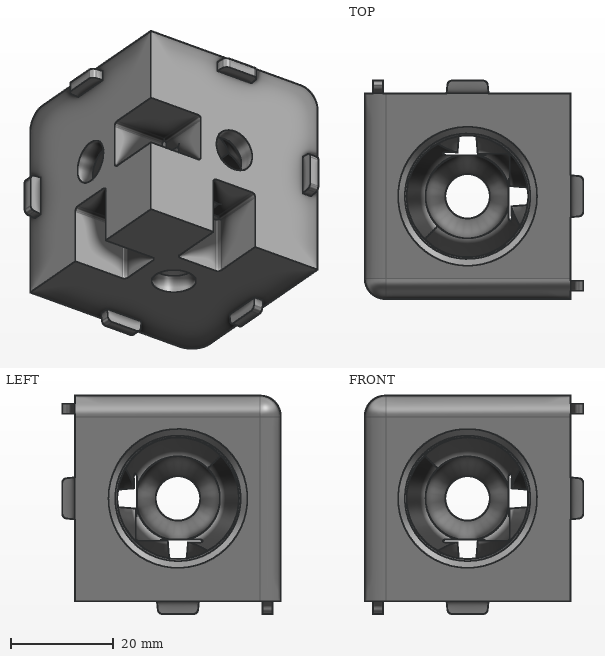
import cadquery as cq
import math

CUBE_SIDE = 40.0
HALF_SIDE = CUBE_SIDE / 2
EDGE_RADIUS = 4.1

DRAFT_ANGLE = 1.0
DRAFT_SLOPE = math.tan(math.radians(DRAFT_ANGLE))

MOUTH_RADIUS = 13.5
MOUTH_DEPTH = 1.1
RIM_RADIUS = 12.2
RIM_DEPTH = 0.8
SPHERE_RADIUS = 11.63

POCKET_END_RADIUS = 8.16
POCKET_END = 12.5
HOLE_RADIUS = 4.3
COUNTERSINK_DEPTH = POCKET_END_RADIUS - HOLE_RADIUS

NOTCH_INSET = 8.0
NOTCH_LENGTH = 10.0
NOTCH_CORNER_RADIUS = 0.8

TAB_WIDTH = 8.2
TAB_TIP_WIDTH = 7.7
TAB_HEIGHT = 2.5
TAB_THICKNESS = 2.0
TAB_CORNER_RADIUS = 1.0
TAB_INSET = 1.6

DIAGONAL = (-1, -1, 1)
REPEATS = 3
REPEAT_ANGLE = 360 / REPEATS


def repeated(shape):
    """Return all copies of a shape around the diagonal."""
    return [shape.rotate((0, 0, 0), DIAGONAL, i * REPEAT_ANGLE) for i in range(REPEATS)]


def cube():
    """Cube with the three edges between the open faces rounded."""
    block = cq.Workplane("XY").box(CUBE_SIDE, CUBE_SIDE, CUBE_SIDE)
    meeting_corner = (-HALF_SIDE, -HALF_SIDE, HALF_SIDE)
    edges = []
    for direction in ("|X", "|Y", "|Z"):
        edges += block.edges(direction).edges(cq.NearestToPointSelector(meeting_corner)).vals()
    return block.newObject(edges).fillet(EDGE_RADIUS)


def passage():
    """Space removed along Z: drafted bore, spherical end, countersunk hole."""
    rim_top = HALF_SIDE - MOUTH_DEPTH
    bore_top = rim_top - RIM_DEPTH
    bore_top_radius = SPHERE_RADIUS + bore_top * DRAFT_SLOPE
    pocket_top_radius = POCKET_END_RADIUS + POCKET_END * DRAFT_SLOPE
    profile = (
        cq.Workplane("XZ")
        .moveTo(0, HALF_SIDE)
        .lineTo(MOUTH_RADIUS, HALF_SIDE)
        .lineTo(RIM_RADIUS, rim_top)
        .lineTo(bore_top_radius, bore_top)
        .lineTo(SPHERE_RADIUS, 0)
        .radiusArc((0, -SPHERE_RADIUS), SPHERE_RADIUS)
        .close()
    )
    bore = profile.revolve(360, (0, 0, 0), (0, 1, 0))
    countersunk_hole = (
        cq.Workplane("XZ")
        .lineTo(pocket_top_radius, 0)
        .lineTo(POCKET_END_RADIUS, -POCKET_END)
        .lineTo(HOLE_RADIUS, -POCKET_END - COUNTERSINK_DEPTH)
        .lineTo(HOLE_RADIUS, -HALF_SIDE)
        .lineTo(0, -HALF_SIDE)
        .close()
        .revolve(360, (0, 0, 0), (0, 1, 0))
    )
    return bore.union(countersunk_hole)


def notch():
    """Square notch across the middle of the +X +Y edge, rounded where its ends meet its walls."""
    depth = HALF_SIDE - NOTCH_INSET
    centre = NOTCH_INSET + depth / 2
    block = cq.Workplane("XY").box(depth, depth, NOTCH_LENGTH)
    inner_edges = block.faces("<X or <Y").edges("(|X or |Y) and (<X or <Y)")
    return inner_edges.fillet(NOTCH_CORNER_RADIUS).translate((centre, centre, 0))


def tab():
    """Tapered tab on the +X face, lying along Y just below the top face."""
    tip = HALF_SIDE + TAB_HEIGHT
    outline = [
        (HALF_SIDE, -TAB_WIDTH / 2),
        (tip, -TAB_TIP_WIDTH / 2),
        (tip, TAB_TIP_WIDTH / 2),
        (HALF_SIDE, TAB_WIDTH / 2),
    ]
    return (
        cq.Workplane("XY")
        .workplane(offset=HALF_SIDE - TAB_INSET - TAB_THICKNESS)
        .polyline(outline)
        .close()
        .extrude(TAB_THICKNESS)
        .edges("|Z and >X")
        .fillet(TAB_CORNER_RADIUS)
    )


def tab_pair():
    """The two tabs of the +X face, mirrored in the plane Y = -Z."""
    upper_tab = tab()
    side_tab = upper_tab.rotate((0, 0, 0), (1, 0, 0), 90)
    return upper_tab, side_tab


result = cube()
for cutter in repeated(passage()) + repeated(notch()):
    result = result.cut(cutter)
for one_tab in tab_pair():
    for copy in repeated(one_tab):
        result = result.union(copy)